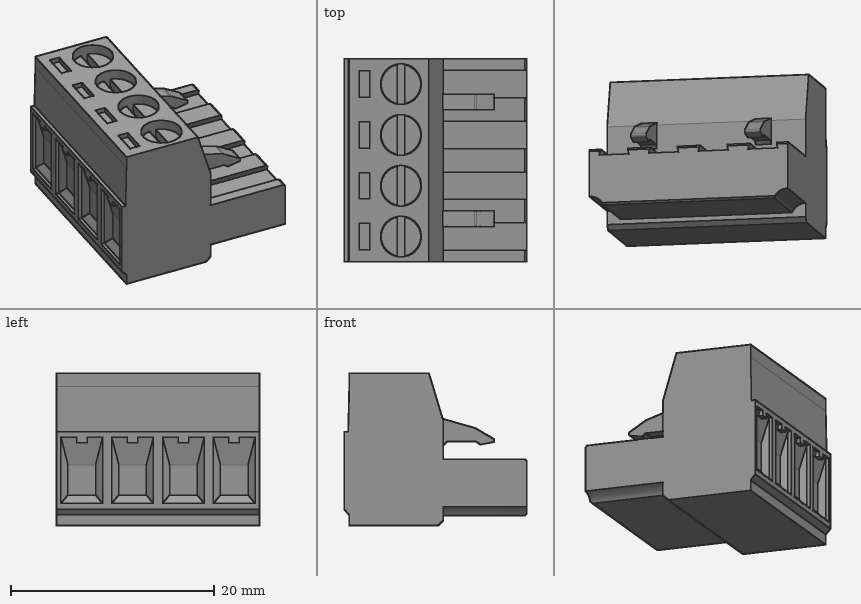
import cadquery as cq

POLES = 4
PITCH = 5.0
WIDTH = POLES * PITCH
LENGTH = 18.0
HEIGHT = 15.0
POLE_CENTRES = [(i - (POLES - 1) / 2) * PITCH for i in range(POLES)]

FOOT_X = 0.5
FOOT_TOP = 1.05
ENTRY_BOTTOM = 1.6
ENTRY_TOP = 9.25
LEDGE_X = 0.4
DRAFT_TOP = 13.72
TOP_END_X = 8.36
BODY_END_X = 9.78
SLOPE_BOTTOM = 10.3
HEEL_CHAMFER = 0.5

ARM_BOTTOM = 0.97
ARM_TOP = 6.55
ARM_CHAMFER = 0.2
ARM_GROOVE_WIDTH = 2.7
ARM_GROOVE_DEPTH = 0.6
ARM_GROOVE_UNDERCUT = 0.15
COVE_RADIUS = 1.5
COVE_TOP = 1.87

LATCH_WIDTH = 1.55
LATCH_CENTRE_Y = 5.75
LATCH_ROOT_X = 9.2
LATCH_START = (9.7, 10.52)
LATCH_KNEE = (12.9, 9.61)
LATCH_KNEE_RADIUS = 0.8
LATCH_TIP_X = 14.78
LATCH_TIP_TOP = 8.5
LATCH_TIP_BOTTOM = 8.22
LATCH_TIP_TOP_RADIUS = 0.2
LATCH_TIP_BOTTOM_RADIUS = 0.1
LATCH_UNDERSIDE = 8.25
LATCH_BARB = (13.4, 7.95)
LATCH_BARB_START_X = 13.0
LATCH_GUSSET_SIZE = 0.35

SCREW_X = 5.6
WELL_DIAMETER = 4.0
HEAD_DIAMETER = 3.9
HEAD_RECESS = 1.0
HEAD_THICKNESS = 1.0
DRIVER_SLOT_WIDTH = 0.73
TEST_SLOT_X = 2.02
TEST_SLOT_LENGTH = 1.04
TEST_SLOT_WIDTH = 2.6
TEST_SLOT_DEPTH = 0.5

FUNNEL_MOUTH_WIDTH = 4.1
FUNNEL_MOUTH_BOTTOM = 2.18
FUNNEL_MOUTH_TOP = 8.69
FUNNEL_FLOOR_WIDTH = 2.73
FUNNEL_FLOOR_BOTTOM = 3.0
FUNNEL_FLOOR_TOP = 6.0
FUNNEL_RIM_DEPTH = 0.35
FUNNEL_DEPTH = 0.9
TAB_WIDTH = 1.03
TAB_HEIGHT = 0.52


def box(x_min, x_max, y_centre, y_width, z_min, z_max):
    """Block given by its X and Z limits and its Y centre and width."""
    return (
        cq.Workplane("XY")
        .box(x_max - x_min, y_width, z_max - z_min, centered=(False, True, False))
        .translate((x_min, y_centre, z_min))
    )


def extrude_profile(points, y_centre, y_width):
    """XZ outline extruded evenly to both sides of y_centre."""
    profile = cq.Workplane("XZ", origin=(0, y_centre, 0)).polyline(points).close()
    return profile.extrude(y_width / 2, both=True)


def body():
    outline = [
        (FOOT_X, 0),
        (FOOT_X, FOOT_TOP),
        (0, ENTRY_BOTTOM),
        (0, ENTRY_TOP),
        (LEDGE_X, ENTRY_TOP),
        (FOOT_X, DRAFT_TOP),
        (FOOT_X, HEIGHT),
        (TOP_END_X, HEIGHT),
        (BODY_END_X, SLOPE_BOTTOM),
        (BODY_END_X, HEEL_CHAMFER),
        (BODY_END_X - HEEL_CHAMFER, 0),
    ]
    return extrude_profile(outline, 0, WIDTH)


def dovetail_groove(y):
    """Groove along the arm, wider at its floor than at the arm's top face."""
    top_half = ARM_GROOVE_WIDTH / 2
    floor_half = top_half + ARM_GROOVE_UNDERCUT
    section = [
        (-top_half, 0),
        (top_half, 0),
        (floor_half, -ARM_GROOVE_DEPTH),
        (-floor_half, -ARM_GROOVE_DEPTH),
    ]
    at_body = cq.Workplane("YZ", origin=(BODY_END_X, y, ARM_TOP))
    return at_body.polyline(section).close().extrude(LENGTH - BODY_END_X)


def plug_arm():
    """Arm with a dovetail groove over each pole and a cove along both lower outer edges."""
    arm = box(BODY_END_X, LENGTH, 0, WIDTH, ARM_BOTTOM, ARM_TOP)
    arm = arm.faces(">X").edges("|Y").chamfer(ARM_CHAMFER)
    for y in POLE_CENTRES:
        arm = arm.cut(dovetail_groove(y))
    for y in (-WIDTH / 2, WIDTH / 2):
        cove_axis = cq.Workplane("YZ", origin=(BODY_END_X, y, COVE_TOP - COVE_RADIUS))
        arm = arm.cut(cove_axis.circle(COVE_RADIUS).extrude(LENGTH - BODY_END_X))
    return arm


def latch(y):
    """Hooked finger rooted in the sloped rear of the body."""
    gusset_bottom = LATCH_UNDERSIDE - LATCH_GUSSET_SIZE
    outline = [
        (LATCH_ROOT_X, LATCH_START[1]),
        LATCH_START,
        LATCH_KNEE,
        (LATCH_TIP_X, LATCH_TIP_TOP),
        (LATCH_TIP_X, LATCH_TIP_BOTTOM),
        LATCH_BARB,
        (LATCH_BARB_START_X, LATCH_UNDERSIDE),
        (BODY_END_X + LATCH_GUSSET_SIZE, LATCH_UNDERSIDE),
        (BODY_END_X, gusset_bottom),
        (LATCH_ROOT_X, gusset_bottom),
    ]
    rounded_corners = [
        (LATCH_KNEE[0], LATCH_KNEE[1], LATCH_KNEE_RADIUS),
        (LATCH_TIP_X, LATCH_TIP_TOP, LATCH_TIP_TOP_RADIUS),
        (LATCH_TIP_X, LATCH_TIP_BOTTOM, LATCH_TIP_BOTTOM_RADIUS),
    ]
    finger = extrude_profile(outline, y, LATCH_WIDTH)
    for x, z, radius in rounded_corners:
        corner = cq.NearestToPointSelector((x, y, z))
        finger = finger.edges("|Y").edges(corner).fillet(radius)
    return finger


def screw_well(y):
    """Round well holding a slotted screw head that rises from its floor."""
    head_top = HEIGHT - HEAD_RECESS
    well_floor = head_top - HEAD_THICKNESS
    at_floor = cq.Workplane("XY", origin=(SCREW_X, y, well_floor))
    well = at_floor.circle(WELL_DIAMETER / 2).extrude(HEIGHT - well_floor)
    head = at_floor.circle(HEAD_DIAMETER / 2).extrude(HEAD_THICKNESS)
    slot_half = DRIVER_SLOT_WIDTH / 2
    driver_slot = box(SCREW_X - slot_half, SCREW_X + slot_half, y, WELL_DIAMETER, well_floor, head_top)
    return well.cut(head.cut(driver_slot))


def test_slot(y):
    half = TEST_SLOT_LENGTH / 2
    return box(TEST_SLOT_X - half, TEST_SLOT_X + half, y, TEST_SLOT_WIDTH, HEIGHT - TEST_SLOT_DEPTH, HEIGHT)


def wire_funnel(y):
    """Straight rim, then a taper to a smaller floor; a tab hangs from the top of the mouth."""
    mouth_height = FUNNEL_MOUTH_TOP - FUNNEL_MOUTH_BOTTOM
    floor_height = FUNNEL_FLOOR_TOP - FUNNEL_FLOOR_BOTTOM
    mouth_middle = (FUNNEL_MOUTH_TOP + FUNNEL_MOUTH_BOTTOM) / 2
    floor_middle = (FUNNEL_FLOOR_TOP + FUNNEL_FLOOR_BOTTOM) / 2
    rim = box(0, FUNNEL_RIM_DEPTH, y, FUNNEL_MOUTH_WIDTH, FUNNEL_MOUTH_BOTTOM, FUNNEL_MOUTH_TOP)
    taper = (
        cq.Workplane("YZ", origin=(FUNNEL_RIM_DEPTH, y, mouth_middle))
        .rect(FUNNEL_MOUTH_WIDTH, mouth_height)
        .workplane(offset=FUNNEL_DEPTH - FUNNEL_RIM_DEPTH)
        .center(0, floor_middle - mouth_middle)
        .rect(FUNNEL_FLOOR_WIDTH, floor_height)
        .loft(ruled=True)
    )
    tab = box(0, FUNNEL_DEPTH, y, TAB_WIDTH, FUNNEL_MOUTH_TOP - TAB_HEIGHT, FUNNEL_MOUTH_TOP)
    return rim.union(taper).cut(tab)


result = body().union(plug_arm())
for latch_y in (-LATCH_CENTRE_Y, LATCH_CENTRE_Y):
    result = result.union(latch(latch_y))
for pole_y in POLE_CENTRES:
    result = result.cut(screw_well(pole_y))
    result = result.cut(test_slot(pole_y))
    result = result.cut(wire_funnel(pole_y))